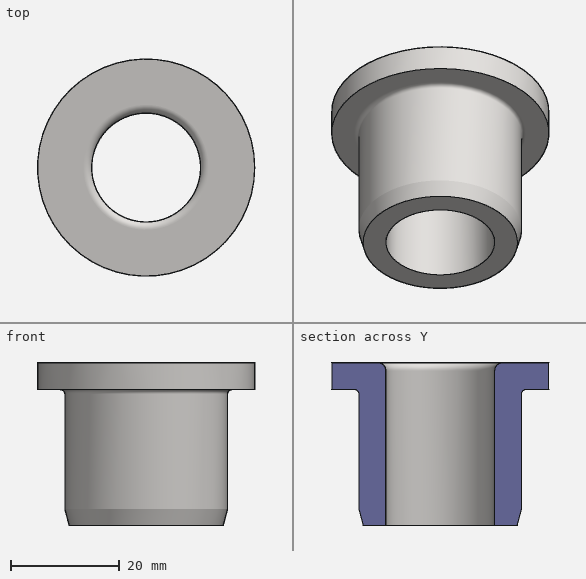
import cadquery as cq
import math

flange_diameter = 40.0
flange_thickness = 5.0
body_diameter = 30.0
bore_diameter = 20.0
total_height = 30.0
lead_in_height = 3.0
lead_in_angle = 15.0
bore_round_radius = 1.5
neck_fillet_radius = 0.8

flange_radius = flange_diameter / 2
body_radius = body_diameter / 2
bore_radius = bore_diameter / 2
body_length = total_height - flange_thickness
lead_in_depth = lead_in_height * math.tan(math.radians(lead_in_angle))


def make_body():
    """Cylindrical shank with a tapered lead-in at its lower end, under a flange."""
    return (
        cq.Workplane("XZ")
        .moveTo(0, 0)
        .lineTo(body_radius - lead_in_depth, 0)
        .lineTo(body_radius, lead_in_height)
        .lineTo(body_radius, body_length)
        .lineTo(flange_radius, body_length)
        .lineTo(flange_radius, total_height)
        .lineTo(0, total_height)
        .close()
        .revolve(360, (0, 0, 0), (0, 1, 0))
    )


def innermost_circle(face):
    """Select the smallest circular edge of a ring-shaped face."""
    return face.edges(cq.selectors.RadiusNthSelector(0))


def fillet_neck(body):
    """Round the inside corner where the shank meets the flange."""
    flange_underside = body.faces(cq.NearestToPointSelector((0, 0, body_length)))
    return innermost_circle(flange_underside).fillet(neck_fillet_radius)


def cut_bore(body):
    """Cut the through bore and round its mouth on the flange face."""
    bored = body.faces(">Z").workplane().circle(bore_radius).cutThruAll()
    return innermost_circle(bored.faces(">Z")).fillet(bore_round_radius)


result = cut_bore(fillet_neck(make_body()))